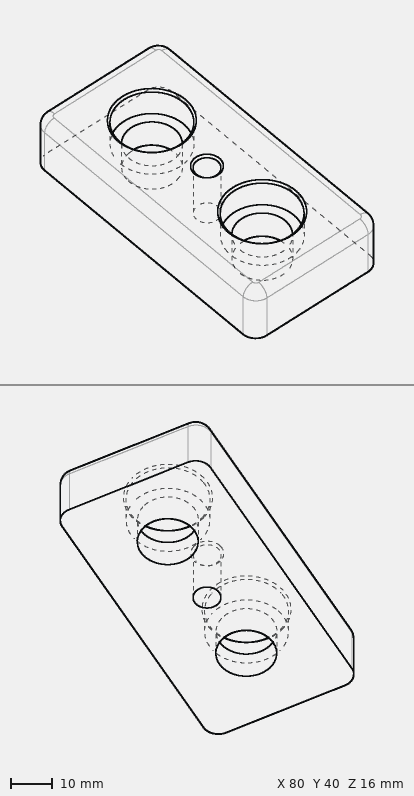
import cadquery as cq

length = 80.0
width = 40.0
height = 16.0
corner_radius = 4.0
top_edge_radius = 3.0

bolt_spacing = 40.0
bolt_hole_diameter = 14.5
counterbore_diameter = 20.0
counterbore_depth = 8.0
counterbore_chamfer = 0.6

centre_hole_diameter = 6.65
centre_hole_chamfer = 0.6


def rounded_block():
    """Block standing on Z = 0 with rounded corners and a rounded top rim."""
    block = cq.Workplane("XY").box(length, width, height, centered=(True, True, False))
    block = block.edges("|Z").fillet(corner_radius)
    return block.faces(">Z").edges().fillet(top_edge_radius)


def hole_from_top(x, diameter, depth):
    """Cylinder that cuts downward from the top face."""
    return cq.Workplane("XY", origin=(x, 0, height)).circle(diameter / 2).extrude(-depth)


def mouth_chamfer(x, diameter, chamfer):
    """45 degree cone that breaks the top edge of a hole."""
    mouth_radius = diameter / 2 + chamfer
    cone = cq.Solid.makeCone(
        mouth_radius,
        diameter / 2,
        chamfer,
        pnt=cq.Vector(x, 0, height),
        dir=cq.Vector(0, 0, -1),
    )
    return cq.Workplane(obj=cone)


def counterbored_hole(x):
    """Through hole with a chamfered counterbore."""
    through = hole_from_top(x, bolt_hole_diameter, height)
    counterbore = hole_from_top(x, counterbore_diameter, counterbore_depth)
    chamfer = mouth_chamfer(x, counterbore_diameter, counterbore_chamfer)
    return through.union(counterbore).union(chamfer)


def centre_hole():
    """Plain through hole with a chamfered mouth."""
    through = hole_from_top(0, centre_hole_diameter, height)
    return through.union(mouth_chamfer(0, centre_hole_diameter, centre_hole_chamfer))


result = rounded_block().cut(centre_hole())
for side in (-1, 1):
    result = result.cut(counterbored_hole(side * bolt_spacing / 2))